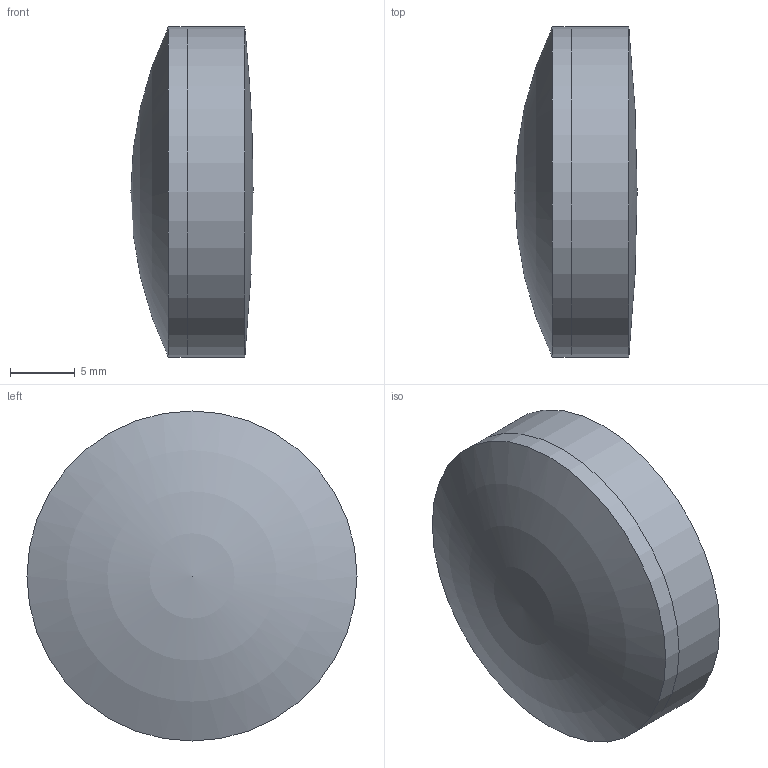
import cadquery as cq
import math

diameter = 25.4
front_radius = 29.4
cemented_radius = 25.05
back_radius = 127.1
front_element_thickness = 7.8
back_element_thickness = 1.6

semi_diameter = diameter / 2
cemented_vertex = front_element_thickness
back_vertex = front_element_thickness + back_element_thickness


def sag(radius, height):
    """Axial depth of a spherical face at a given height from the axis."""
    return radius - math.sqrt(radius**2 - height**2)


def face_points(vertex, radius, bulge):
    """Axis, mid-height and rim points of a face; bulge is the X direction (+1 or -1) it swells toward."""
    heights = (0, semi_diameter / 2, semi_diameter)
    return [(vertex - bulge * sag(radius, height), height) for height in heights]


def lens_element(left_face, right_face):
    """Revolve the half section between two faces about the optical axis."""
    left_axis, left_mid, left_rim = left_face
    right_axis, right_mid, right_rim = right_face
    return (
        cq.Workplane("XZ")
        .moveTo(*left_axis)
        .threePointArc(left_mid, left_rim)
        .lineTo(*right_rim)
        .threePointArc(right_mid, right_axis)
        .close()
        .revolve(360, (0, 0), (1, 0))
    )


front_face = face_points(0, front_radius, -1)
cemented_face = face_points(cemented_vertex, cemented_radius, 1)
back_face = face_points(back_vertex, back_radius, 1)

front_element = lens_element(front_face, cemented_face)
back_element = lens_element(cemented_face, back_face)

result = cq.Compound.makeCompound([front_element.val(), back_element.val()])